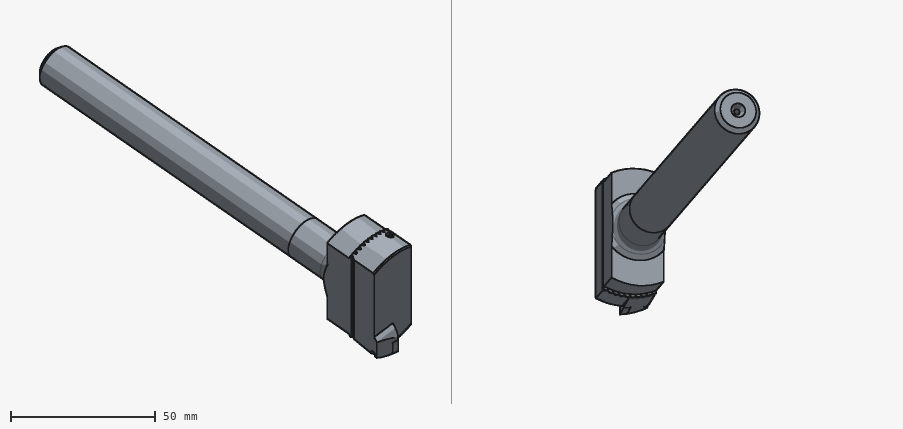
import cadquery as cq
import math


shank_diameter = 16.0
shank_radius = shank_diameter / 2
shank_length = 120.1
shank_chamfer = 1.6
bore_radius = 1.0
countersink_radius = 2.5
countersink_depth = 2.0
bore_depth = 6.6
drill_tip_depth = 0.7

body_width = 18.6
half_width = body_width / 2
block_start = 140.0
block_radius = 21.1
adapter_end = 151.5
rim_radius = 22.0
rim_start = 150.8
rim_chamfer = 0.5
flare_angle = math.radians(60)
flare_fillet = 4.1
flare_radius = 12.0

tooth_pitch = 2.0
tooth_depth = 1.2
tooth_crest_x = 150.6
flank_slope = math.tan(math.radians(60))
half_crest = 0.2
crests_per_side = 4

head_front = 162.4
head_chamfer = 0.5
outer_flank_x = tooth_crest_x + flank_slope * (half_width - crests_per_side * tooth_pitch - half_crest)

tip_x = 165.0
profile_bottom_z = -24.8
jaw_top_z = -11.9
jaw_front = 163.7
nose_angle = math.radians(45)
nose_radius = (tip_x - head_front) / (1 - math.cos(nose_angle))
nose_end_z = jaw_top_z - nose_radius * math.sin(nose_angle)
nose_middle = (
    tip_x - nose_radius * (1 - math.cos(nose_angle / 2)),
    nose_end_z + nose_radius * math.sin(nose_angle / 2),
)
relief_offset_y = 1.0
relief_offset_z = -2.1

insert_thickness = 2.5
insert_rear_x = 159.7
insert_top_z = nose_end_z

insert_screw_radius = 1.0
insert_screw_length = 6.6
insert_screw_x = 161.9
insert_screw_z = -20.5

set_screw_radius = 1.3
set_screw_length = 5.0
set_screw_x = 154.1
set_screw_y = 7.1
set_screw_recess = 0.8
set_screw_top = math.sqrt(rim_radius**2 - (set_screw_y + set_screw_radius) ** 2) - set_screw_recess
socket_width = 1.3
socket_depth = 1.0


def box_between(low, high):
    """Box spanning two opposite corners."""
    size = [top - bottom for bottom, top in zip(low, high)]
    return cq.Workplane("XY").box(*size, centered=False).translate(low)


def x_cylinder(radius, start, end):
    """Cylinder on the tool axis from x = start to x = end."""
    return cq.Workplane("YZ", origin=(start, 0, 0)).circle(radius).extrude(end - start)


def side_trim():
    """Slab between the two flat sides of the block and head."""
    return box_between((0, -half_width, -2 * rim_radius), (tip_x, half_width, 2 * rim_radius))


def make_shank():
    bar = x_cylinder(shank_radius, 0, shank_length).faces("<X").chamfer(shank_chamfer)
    bore = (
        cq.Workplane("XY")
        .lineTo(0, countersink_radius)
        .lineTo(countersink_depth, bore_radius)
        .lineTo(bore_depth, bore_radius)
        .lineTo(bore_depth + drill_tip_depth, 0)
        .close()
        .revolve(360, (0, 0, 0), (1, 0, 0))
    )
    return bar.cut(bore)


def make_head_blank():
    """Round head with flat sides and a serrated rear face."""
    root_offset = half_crest + tooth_depth / flank_slope
    root_x = tooth_crest_x + tooth_depth
    points = [(head_front, -half_width), (outer_flank_x, -half_width)]
    for tooth in range(-crests_per_side, crests_per_side + 1):
        crest_y = tooth * tooth_pitch
        points += [
            (root_x, crest_y - root_offset),
            (tooth_crest_x, crest_y - half_crest),
            (tooth_crest_x, crest_y + half_crest),
            (root_x, crest_y + root_offset),
        ]
    points += [(outer_flank_x, half_width), (head_front, half_width)]
    serrated = cq.Workplane("XY").polyline(points).close().extrude(2 * rim_radius, both=True)
    round_body = x_cylinder(rim_radius, block_start, head_front).faces(">X").chamfer(head_chamfer)
    return round_body.intersect(serrated)


def make_adapter(head_blank):
    """Neck, flare, block and rim, with grooves that match the ridges of the head."""
    fillet_rise = flare_fillet * (1 - math.cos(flare_angle))
    fillet_run = flare_fillet * math.sin(flare_angle)
    cone_run = (flare_radius - shank_radius - fillet_rise) / math.tan(flare_angle)
    neck_end = block_start - cone_run - fillet_run
    half_angle = flare_angle / 2
    fillet_middle = (
        neck_end + flare_fillet * math.sin(half_angle),
        shank_radius + flare_fillet * (1 - math.cos(half_angle)),
    )
    turned = (
        cq.Workplane("XY")
        .moveTo(shank_length, 0)
        .lineTo(shank_length, shank_radius)
        .lineTo(neck_end, shank_radius)
        .threePointArc(fillet_middle, (neck_end + fillet_run, shank_radius + fillet_rise))
        .lineTo(block_start, flare_radius)
        .lineTo(block_start, block_radius)
        .lineTo(rim_start - rim_chamfer, block_radius)
        .lineTo(rim_start, rim_radius)
        .lineTo(adapter_end, rim_radius)
        .lineTo(adapter_end, 0)
        .close()
        .revolve(360, (0, 0, 0), (1, 0, 0))
    )
    return turned.intersect(side_trim()).cut(head_blank)


def make_jaw():
    """Jaw and insert as one shape, with clearance below and in front of the cutting edge."""
    side_profile = (
        cq.Workplane("XZ")
        .moveTo(outer_flank_x, jaw_top_z)
        .lineTo(head_front, jaw_top_z)
        .threePointArc(nose_middle, (tip_x, nose_end_z))
        .lineTo(tip_x, profile_bottom_z)
        .lineTo(outer_flank_x, profile_bottom_z)
        .close()
        .extrude(half_width)
    )
    front_clearance = (
        cq.Workplane("XY", origin=(0, 0, profile_bottom_z))
        .moveTo(outer_flank_x, 0)
        .lineTo(tip_x, 0)
        .lineTo(jaw_front, -half_width)
        .lineTo(outer_flank_x, -half_width)
        .close()
        .extrude(jaw_top_z - profile_bottom_z)
    )
    lower_relief = (
        cq.Workplane("YZ", origin=(outer_flank_x, 0, 0))
        .circle(rim_radius)
        .workplane(offset=tip_x - outer_flank_x)
        .center(relief_offset_y, relief_offset_z)
        .circle(rim_radius)
        .loft(ruled=True)
    )
    return side_profile.intersect(front_clearance).intersect(lower_relief)


def insert_screw_cylinder(length):
    """Cylinder from the rake plane along -Y, for the insert screw and for its hole."""
    start = cq.Workplane("XZ", origin=(insert_screw_x, 0, insert_screw_z))
    return start.circle(insert_screw_radius).extrude(length)


def set_screw_cylinder(length):
    """Upright cylinder from the foot of the set screw, for the screw and for its hole."""
    foot_z = set_screw_top - set_screw_length
    foot = cq.Workplane("XY", origin=(set_screw_x, set_screw_y, foot_z))
    return foot.circle(set_screw_radius).extrude(length)


def make_set_screw():
    body = set_screw_cylinder(set_screw_length)
    return body.faces(">Z").workplane().polygon(6, socket_width).cutBlind(-socket_depth)


def make_head(blank, jaw, pocket):
    """Head and jaw in one piece, with the insert pocket and both screw holes."""
    head = blank.union(jaw).cut(pocket)
    head = head.cut(insert_screw_cylinder(half_width))
    return head.cut(set_screw_cylinder(rim_radius))


head_blank = make_head_blank()
jaw = make_jaw()
insert_pocket = box_between((insert_rear_x, -insert_thickness, profile_bottom_z), (tip_x, 0, insert_top_z))

shank = make_shank()
adapter = make_adapter(head_blank)
insert_screw = insert_screw_cylinder(insert_screw_length)
set_screw = make_set_screw()
insert = jaw.intersect(insert_pocket).cut(insert_screw)
head = make_head(head_blank, jaw, insert_pocket)

bodies = [shank, adapter, head, insert, insert_screw, set_screw]
result = cq.Compound.makeCompound([body.solids().val() for body in bodies])